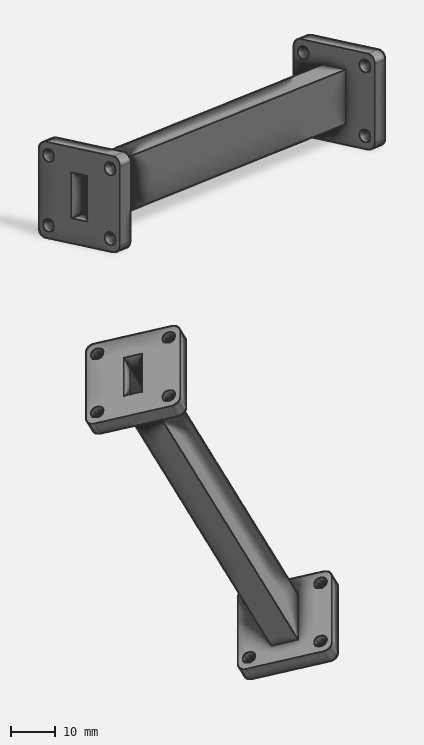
import cadquery as cq

total_length = 100.0

channel_width = 4.318
channel_height = 10.668
wall_thickness = 1.016

flange_size = 22.4
flange_thickness = 4.0
flange_corner_radius = 2.0
bolt_hole_diameter = 3.0
bolt_spacing_x = 17.0
bolt_spacing_z = 16.3

tube_width = channel_width + 2 * wall_thickness
tube_height = channel_height + 2 * wall_thickness
tube_length = total_length - 2 * flange_thickness


def make_tube():
    """Rectangular tube that butts against the inner faces of both flanges."""
    outside = cq.Workplane("XY").box(tube_width, tube_length, tube_height)
    channel = cq.Workplane("XY").box(channel_width, tube_length, channel_height)
    return outside.cut(channel)


def make_flange(center_y):
    """Rounded square plate with the channel opening and four bolt holes."""
    plate = (
        cq.Workplane("XY")
        .box(flange_size, flange_thickness, flange_size)
        .edges("|Y")
        .fillet(flange_corner_radius)
    )
    opening = cq.Workplane("XY").box(channel_width, flange_thickness, channel_height)
    bolt_holes = (
        cq.Workplane("XZ")
        .rect(bolt_spacing_x, bolt_spacing_z, forConstruction=True)
        .vertices()
        .circle(bolt_hole_diameter / 2)
        .extrude(flange_thickness / 2, both=True)
    )
    return plate.cut(opening).cut(bolt_holes).translate((0, center_y, 0))


tube = make_tube()

flange_offset = (total_length - flange_thickness) / 2
flanges = [make_flange(side * flange_offset) for side in (-1, 1)]

result = cq.Compound.makeCompound([tube.val(), *[flange.val() for flange in flanges]])